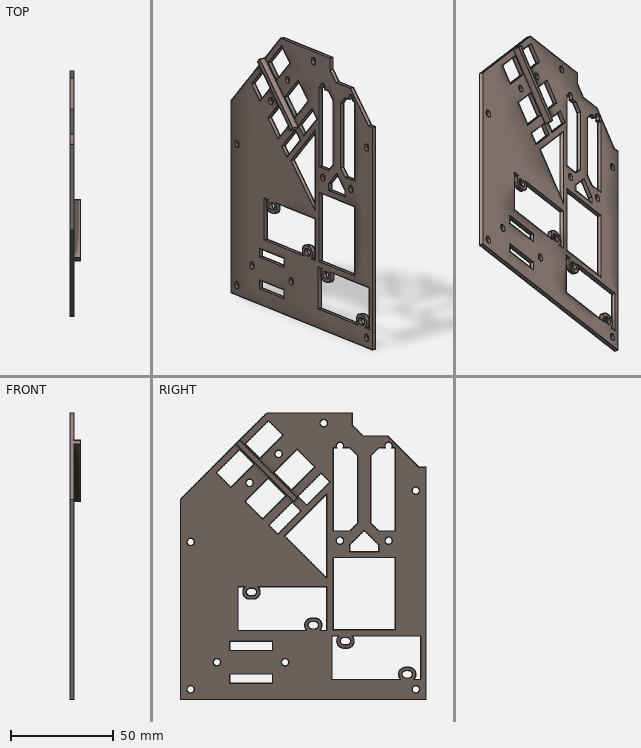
import cadquery as cq

plate_width = 120.0
plate_height = 140.0
plate_thickness = 2.0
front_chamfer = 42.2
shoulder_height = 113.5
shoulder_width = 3.4
shoulder_rise = 15.3
notch_edge = 36.0
notch_rise = 5.2
hole_diameter = 3.5

edge_margin = 5.0
upper_rear_hole_height = 102.0
upper_front_hole_height = 77.0
top_hole_position = 50.0

relay_center = 30.2
relay_width = 30.2
relay_bottom = 82.4
relay_top = 122.9
strut_width = 6.4
relay_corner_cut = 3.8
relay_hole_spacing = 23.8
relay_hole_heights = (77.6, 123.9)
house_width = 14.0
house_bottom = 72.3
house_wall = 3.3

square_window_bottom = 34.1
square_window_height = 35.2
inner_edge = 48.6
triangle_bottom = 59.4
triangle_height = 40.8

eyelet_window_width = 43.2
eyelet_window_height = 21.2
eyelet_windows = ((2.7, 9.8), (inner_edge, 33.8))
eyelet_spacing_across = 30.2
eyelet_spacing_up = 16.2
eyelet_slot_stretch = 1.5
eyelet_outer_diameter = 7.0

vent_center = (85.5, 18.2)
vent_length = 20.8
vent_width = 4.4
vent_spacing = 16.1
vent_hole_spacing = 33.3

rib_start_across = 92.0
rib_start = (rib_start_across, plate_width + plate_height - front_chamfer - rib_start_across)
rib_length = 40.0
rib_width = 2.5
rib_height = 3.2
diagonal_angle = -45.0
switch_column_offset = 10.0
switch_window_length = 16.0
switch_windows = ((8.25, 10.0), (29.1, 12.1), (42.6, 6.1))
switch_hole_depth = 18.2

face = cq.Plane(origin=(0, plate_width / 2, 0), xDir=(0, -1, 0), normal=(-1, 0, 0))
diagonal_face = cq.Plane(
    origin=face.toWorldCoords(rib_start).toTuple(), xDir=face.xDir, normal=face.zDir
).rotated((0, 0, diagonal_angle))


def through(sketch):
    """Extrude a closed sketch on the -X face through the sheet."""
    return sketch.extrude(-plate_thickness)


def polygon(points):
    return through(cq.Workplane(face).polyline(points).close())


def rectangle(left, bottom, width, height):
    return through(cq.Workplane(face).center(left, bottom).rect(width, height, centered=False))


def holes(points):
    return through(cq.Workplane(face).pushPoints(points).circle(hole_diameter / 2))


def make_sheet():
    notch_floor = shoulder_height + shoulder_rise
    return polygon([
        (0, 0),
        (plate_width, 0),
        (plate_width, plate_height - front_chamfer),
        (plate_width - front_chamfer, plate_height),
        (notch_edge, plate_height),
        (notch_edge, notch_floor + notch_rise),
        (notch_edge - notch_rise, notch_floor),
        (shoulder_width + shoulder_rise, notch_floor),
        (shoulder_width, shoulder_height),
        (0, shoulder_height),
    ])


def mounting_holes():
    front_edge = plate_width - edge_margin
    return holes([
        (edge_margin, edge_margin),
        (front_edge, edge_margin),
        (edge_margin, upper_rear_hole_height),
        (front_edge, upper_front_hole_height),
        (top_hole_position, plate_height - edge_margin),
    ])


def relay_slot(side):
    """Slot on one side of the strut (side is -1 or 1), clipped at its two strut corners."""
    outer = relay_center + side * relay_width / 2
    inner = relay_center + side * strut_width / 2
    clipped = inner + side * relay_corner_cut
    return polygon([
        (outer, relay_bottom),
        (clipped, relay_bottom),
        (inner, relay_bottom + relay_corner_cut),
        (inner, relay_top - relay_corner_cut),
        (clipped, relay_top),
        (outer, relay_top),
    ])


def house_window():
    half_width = house_width / 2
    eaves = house_bottom + house_wall
    return polygon([
        (relay_center - half_width, house_bottom),
        (relay_center + half_width, house_bottom),
        (relay_center + half_width, eaves),
        (relay_center, eaves + half_width),
        (relay_center - half_width, eaves),
    ])


def relay_opening():
    hole_points = []
    for height in relay_hole_heights:
        for side in (-1, 1):
            hole_points.append((relay_center + side * relay_hole_spacing / 2, height))
    return relay_slot(-1).union(relay_slot(1)).union(house_window()).union(holes(hole_points))


def square_window():
    left = relay_center - relay_width / 2
    return rectangle(left, square_window_bottom, relay_width, square_window_height)


def triangle_window():
    half_height = triangle_height / 2
    return polygon([
        (inner_edge, triangle_bottom),
        (inner_edge + half_height, triangle_bottom + half_height),
        (inner_edge, triangle_bottom + triangle_height),
    ])


def eyelet_points(left, bottom):
    """Lower-left and upper-right eyelet centers, symmetric about the window center."""
    center_across = left + eyelet_window_width / 2
    center_up = bottom + eyelet_window_height / 2
    points = []
    for side in (-1, 1):
        across = center_across + side * eyelet_spacing_across / 2
        up = center_up + side * eyelet_spacing_up / 2
        points.append((across, up))
    return points


def eyelet_shapes(points, diameter):
    length = diameter + eyelet_slot_stretch
    return through(cq.Workplane(face).pushPoints(points).slot2D(length, diameter))


def add_eyelet_window(sheet, left, bottom):
    points = eyelet_points(left, bottom)
    sheet = sheet.cut(rectangle(left, bottom, eyelet_window_width, eyelet_window_height))
    sheet = sheet.union(eyelet_shapes(points, eyelet_outer_diameter))
    return sheet.cut(eyelet_shapes(points, hole_diameter))


def vent_slots():
    across, up = vent_center
    slot_points = [(across, up + side * vent_spacing / 2) for side in (-1, 1)]
    hole_points = [(across + side * vent_hole_spacing / 2, up) for side in (-1, 1)]
    slots = through(cq.Workplane(face).pushPoints(slot_points).rect(vent_length, vent_width))
    return slots.union(holes(hole_points))


def switch_field():
    columns = (-switch_column_offset, switch_column_offset)
    hole_points = [(column, -switch_hole_depth) for column in columns]
    field = through(cq.Workplane(diagonal_face).pushPoints(hole_points).circle(hole_diameter / 2))
    for depth, width in switch_windows:
        window_points = [(column, -depth) for column in columns]
        windows = cq.Workplane(diagonal_face).pushPoints(window_points).rect(switch_window_length, width)
        field = field.union(through(windows))
    return field


def diagonal_rib():
    """Stiffening rib on the +X face, running inward from the chamfer between the switch columns."""
    rib = cq.Workplane(diagonal_face).center(0, -rib_length / 2).rect(rib_width, rib_length)
    return rib.extrude(-(plate_thickness + rib_height))


def make_part():
    part = make_sheet().union(diagonal_rib())
    openings = (
        mounting_holes(),
        relay_opening(),
        square_window(),
        triangle_window(),
        vent_slots(),
        switch_field(),
    )
    for opening in openings:
        part = part.cut(opening)
    for left, bottom in eyelet_windows:
        part = add_eyelet_window(part, left, bottom)
    return part


result = make_part()